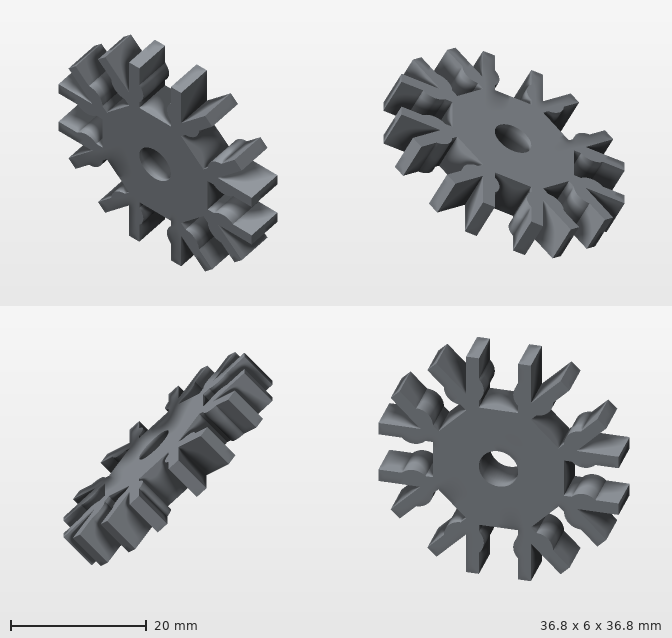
import cadquery as cq
import math

THICKNESS = 6.0
BORE_DIAMETER = 6.0
SLOT_COUNT = 8
SLOT_WIDTH = 6.0
HUB_APOTHEM = 10.0
ARM_THICKNESS = 1.95
ARM_TIP_DISTANCE = 36.77 / 2

BUMP_DISTANCE = 13.0
BUMP_HEIGHT = 0.75
BUMP_CHORD = 3.63

SECTOR_ANGLE = 360.0 / SLOT_COUNT
HALF_SECTOR = math.radians(SECTOR_ANGLE / 2)
ARM_INNER = SLOT_WIDTH / 2
ARM_OUTER = ARM_INNER + ARM_THICKNESS
NOTCH_DISTANCE = ARM_OUTER / math.tan(HALF_SECTOR)


def extrude_centred(sketch):
    """Extrude an XZ-plane sketch equally to both sides of the plane."""
    return sketch.extrude(THICKNESS / 2, both=True)


def make_sector():
    """One wedge of the hub with its slot and the two bumped arms beside it."""
    bump_start = BUMP_DISTANCE - BUMP_CHORD / 2
    bump_end = BUMP_DISTANCE + BUMP_CHORD / 2
    bump_crest = ARM_INNER - BUMP_HEIGHT
    outline = (
        cq.Workplane("XZ")
        .lineTo(ARM_OUTER, NOTCH_DISTANCE)
        .lineTo(ARM_OUTER, ARM_TIP_DISTANCE)
        .lineTo(ARM_INNER, ARM_TIP_DISTANCE)
        .lineTo(ARM_INNER, bump_end)
        .threePointArc((bump_crest, BUMP_DISTANCE), (ARM_INNER, bump_start))
        .lineTo(ARM_INNER, HUB_APOTHEM)
        .lineTo(-ARM_INNER, HUB_APOTHEM)
        .lineTo(-ARM_INNER, bump_start)
        .threePointArc((-bump_crest, BUMP_DISTANCE), (-ARM_INNER, bump_end))
        .lineTo(-ARM_INNER, ARM_TIP_DISTANCE)
        .lineTo(-ARM_OUTER, ARM_TIP_DISTANCE)
        .lineTo(-ARM_OUTER, NOTCH_DISTANCE)
        .close()
    )
    return extrude_centred(outline)


def make_wheel():
    """Join the sectors around the Y axis into one wheel."""
    sector = make_sector()
    wheel = sector
    for index in range(1, SLOT_COUNT):
        wheel = wheel.union(sector.rotate((0, 0, 0), (0, 1, 0), index * SECTOR_ANGLE))
    return wheel.clean()


def make_bore():
    """Cylinder that opens the central through bore."""
    return extrude_centred(cq.Workplane("XZ").circle(BORE_DIAMETER / 2))


result = make_wheel().cut(make_bore())